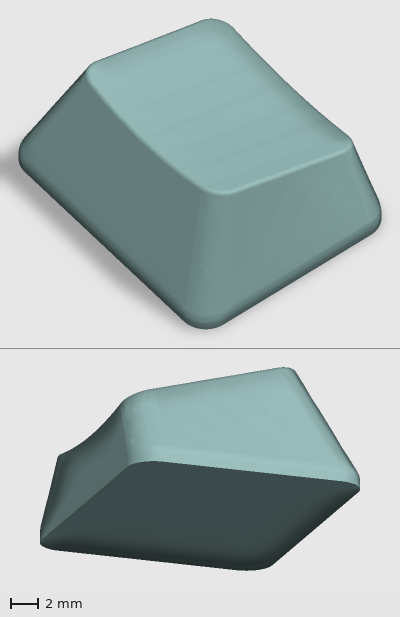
import cadquery as cq
import math

base_width = 22.92
base_depth = 18.15
base_corner_radius = 2.06
skirt_height = 0.69

shoulder_height = 0.6
side_slope = 0.42
front_slope = 0.48
back_slope = 0.07

rim_width = 16.23
rim_front_y = -4.8
rim_back_y = 8.62
rim_corner_radius = 1.83
rim_center_height = 8.35
tilt_degrees = 15.6
rim_center_y = (rim_front_y + rim_back_y) / 2
rim_length = (rim_back_y - rim_front_y) / math.cos(math.radians(tilt_degrees))

dish_radius = 41.25
dish_depth = 1.1
dish_length = 34.38
rim_edge_radius = 0.35


def rounded_outline(width, depth, radius):
    """Wire of a rounded rectangle centred on the origin of the XY plane."""
    block = cq.Workplane("XY").rect(width, depth).extrude(0.23).edges("|Z").fillet(radius)
    return block.faces("<Z").wires().val()


def shoulder_section(fraction):
    """Outline of the shoulder at a fraction of its height.

    The setback grows with the square of the height, so the shoulder starts
    vertical and ends at the slope of the wall above it.
    """
    run = fraction**2 * shoulder_height / 2
    width = base_width - 2 * side_slope * run
    depth = base_depth - (front_slope + back_slope) * run
    center_y = (front_slope - back_slope) * run / 2
    outline = rounded_outline(width, depth, base_corner_radius)
    return outline.translate(cq.Vector(0, center_y, skirt_height + fraction * shoulder_height))


def tilt_onto_rim(shape):
    """Move a shape from the XY plane onto the tilted rim plane."""
    tilted = shape.rotate(cq.Vector(0, 0, 0), cq.Vector(1, 0, 0), -tilt_degrees)
    return tilted.translate(cq.Vector(0, rim_center_y, rim_center_height))


skirt = cq.Workplane("XY").rect(base_width, base_depth).extrude(skirt_height)
skirt = skirt.edges("|Z").fillet(base_corner_radius)

shoulder_sections = [shoulder_section(fraction) for fraction in (0, 0.5, 1)]
shoulder = cq.Solid.makeLoft(shoulder_sections, False)

rim_wire = tilt_onto_rim(rounded_outline(rim_width, rim_length, rim_corner_radius))
taper = cq.Solid.makeLoft([shoulder_sections[-1], rim_wire], True)
body = skirt.union(cq.Workplane(obj=shoulder)).union(cq.Workplane(obj=taper))

dish = cq.Solid.makeCylinder(
    dish_radius,
    dish_length,
    cq.Vector(0, -dish_length / 2, dish_radius - dish_depth),
    cq.Vector(0, 1, 0),
)
body = body.cut(cq.Workplane(obj=tilt_onto_rim(dish)))

dish_face = body.faces(cq.selectors.NearestToPointSelector((0, rim_center_y, rim_center_height)))
result = dish_face.edges().fillet(rim_edge_radius)